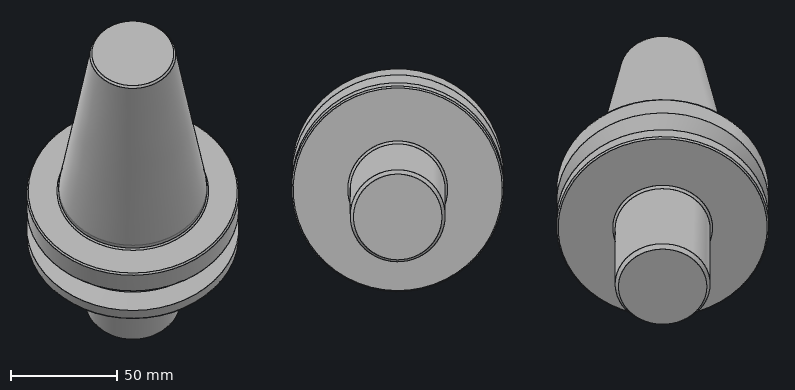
import cadquery as cq

total_height = 191.8
gauge_height = 90.0
flange_top = 87.0
flange_bottom = 52.5
groove_top = 74.5
groove_bottom = 59.5

flange_diameter = 100.0
groove_diameter = 84.5
gauge_diameter = 69.8
taper_small_diameter = 40.5
shank_diameter = 44.7

groove_wall_height = 4.2
taper_root_chamfer = 0.8
rim_chamfer = 0.8
taper_end_chamfer = 1.0
shank_chamfer_width = 1.5
shank_chamfer_height = 2.3
shank_root_chamfer = 1.2

flange_radius = flange_diameter / 2
groove_radius = groove_diameter / 2
gauge_radius = gauge_diameter / 2
taper_small_radius = taper_small_diameter / 2
shank_radius = shank_diameter / 2

shank_profile = [
    (0, 0),
    (shank_radius - shank_chamfer_width, 0),
    (shank_radius, shank_chamfer_height),
    (shank_radius, flange_bottom - shank_root_chamfer),
    (shank_radius + shank_root_chamfer, flange_bottom),
]
flange_profile = [
    (flange_radius - rim_chamfer, flange_bottom),
    (flange_radius, flange_bottom + rim_chamfer),
    (flange_radius, groove_bottom),
    (groove_radius, groove_bottom + groove_wall_height),
    (groove_radius, groove_top - groove_wall_height),
    (flange_radius, groove_top),
    (flange_radius, flange_top - rim_chamfer),
    (flange_radius - rim_chamfer, flange_top),
]
taper_profile = [
    (gauge_radius + taper_root_chamfer, flange_top),
    (gauge_radius, flange_top + taper_root_chamfer),
    (gauge_radius, gauge_height),
    (taper_small_radius, total_height - taper_end_chamfer),
    (taper_small_radius - taper_end_chamfer, total_height),
    (0, total_height),
]

result = (
    cq.Workplane("XZ")
    .polyline(shank_profile + flange_profile + taper_profile)
    .close()
    .revolve(360, (0, 0, 0), (0, 1, 0))
)